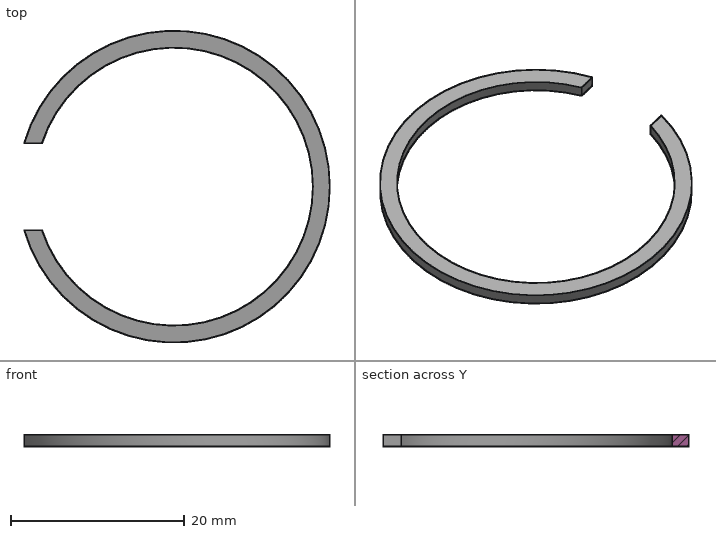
import cadquery as cq

outer_diameter = 35.95
inner_diameter = 32.0
thickness = 1.4
gap_width = 10.0

ring = (
    cq.Workplane("XY")
    .circle(outer_diameter / 2)
    .circle(inner_diameter / 2)
    .extrude(thickness)
)

gap = cq.Workplane("XY").box(
    outer_diameter, gap_width, thickness, centered=(True, True, False)
).translate((-outer_diameter / 2, 0, 0))

result = ring.cut(gap)